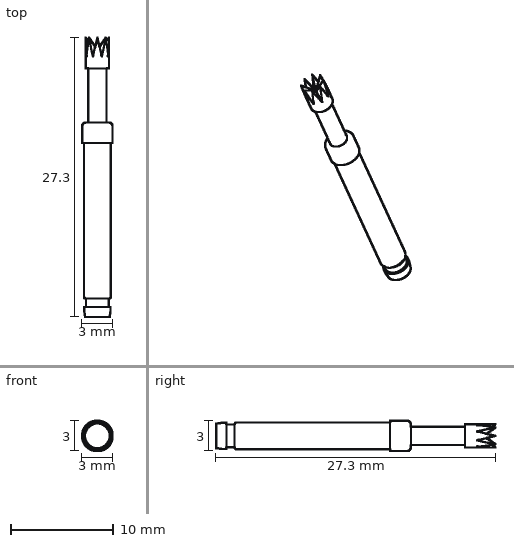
import cadquery as cq
import math


crown_diameter = 2.3
plunger_diameter = 1.8
collar_diameter = 3.0
barrel_diameter = 2.65
neck_diameter = 2.25
tail_diameter = 2.6
tail_end_diameter = 2.42

overall_length = 27.3
crown_length = 3.0
plunger_exposed_length = 5.27
collar_length = 2.03
collar_rounding = 0.4
neck_length = 0.8
tail_length = 1.0
tail_taper_length = 0.6

tooth_count = 8
notch_depth_at_axis = crown_diameter / 2
notch_depth_at_rim = 1.83
cutter_reach = 2

collar_top = collar_length
crown_base = collar_top + plunger_exposed_length
crown_tip = crown_base + crown_length
tail_end = crown_tip - overall_length
neck_bottom = tail_end + tail_length
barrel_end = neck_bottom + neck_length


def make_body():
    """Revolve the stepped half-profile, given as (radius, Y), about the Y axis."""
    crown_radius = crown_diameter / 2
    plunger_radius = plunger_diameter / 2
    collar_radius = collar_diameter / 2
    barrel_radius = barrel_diameter / 2
    neck_radius = neck_diameter / 2
    tail_radius = tail_diameter / 2
    tail_end_radius = tail_end_diameter / 2
    barrel_rounding = barrel_radius - neck_radius
    profile = (
        cq.Workplane("XY")
        .moveTo(0, tail_end)
        .lineTo(tail_end_radius, tail_end)
        .lineTo(tail_radius, tail_end + tail_taper_length)
        .lineTo(tail_radius, neck_bottom)
        .lineTo(neck_radius, neck_bottom)
        .lineTo(neck_radius, barrel_end)
        .radiusArc((barrel_radius, barrel_end + barrel_rounding), -barrel_rounding)
        .lineTo(barrel_radius, 0)
        .lineTo(collar_radius, 0)
        .lineTo(collar_radius, collar_top - collar_rounding)
        .radiusArc((collar_radius - collar_rounding, collar_top), -collar_rounding)
        .lineTo(plunger_radius, collar_top)
        .lineTo(plunger_radius, crown_base)
        .lineTo(crown_radius, crown_base)
        .lineTo(crown_radius, crown_tip)
        .lineTo(0, crown_tip)
        .close()
    )
    return profile.revolve(360, (0, 0, 0), (0, 1, 0))


def make_notch():
    """V-notch running out along +X, its floor sloping down from the axis to the rim.

    The flanks are pitched so that neighbouring notches meet in a ridge that
    reaches full height exactly at the crown's outer edge.
    """
    crown_radius = crown_diameter / 2
    half_pitch = math.pi / tooth_count
    floor_drop = notch_depth_at_rim - notch_depth_at_axis
    depth_beside_tip = notch_depth_at_axis + floor_drop * math.cos(half_pitch)
    flank_slope = depth_beside_tip / (crown_radius * math.sin(half_pitch))

    floor_start = crown_tip - notch_depth_at_axis
    cutter_height = notch_depth_at_axis + cutter_reach * floor_drop
    half_width = cutter_height / flank_slope
    section = cq.Wire.makePolygon(
        [
            cq.Vector(0, floor_start, 0),
            cq.Vector(0, floor_start + cutter_height, half_width),
            cq.Vector(0, floor_start + cutter_height, -half_width),
        ],
        close=True,
    )
    run = cq.Vector(cutter_reach * crown_radius, -cutter_reach * floor_drop, 0)
    return cq.Workplane(cq.Solid.extrudeLinear(section, [], run))


def cut_crown_teeth(body):
    """Cut one notch midway between each pair of teeth; teeth point along X and Z."""
    pitch_angle = 360 / tooth_count
    notch = make_notch()
    for index in range(tooth_count):
        angle = (index + 0.5) * pitch_angle
        body = body.cut(notch.rotate((0, 0, 0), (0, 1, 0), angle))
    return body


result = cut_crown_teeth(make_body())